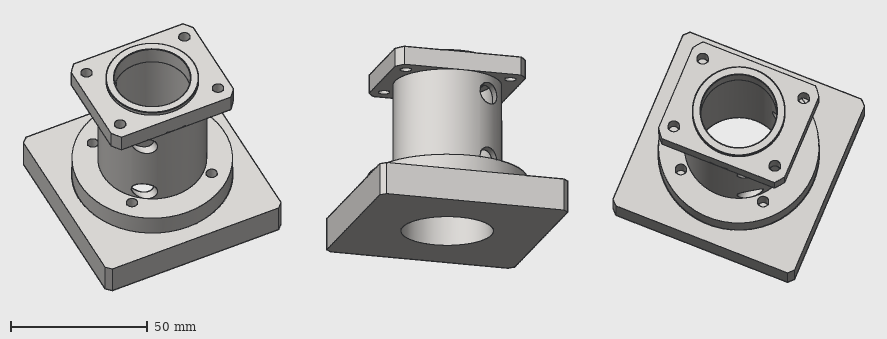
import cadquery as cq

base_side = 72.0
base_height = 12.0
base_chamfer = 2.0

flange_diameter = 59.0
flange_height = 8.0
groove_diameter = 59.4
groove_depth = 0.7
flange_hole_diameter = 4.1
flange_hole_radius = 23.05

tube_diameter = 40.0
tube_height = 36.0
cross_hole_diameter = 8.0
cross_hole_y = -11.0
cross_hole_clearance = 0.035
cross_hole_spacing = 25.0

plate_length_y = 50.0
plate_height = 7.0
plate_corner_diameter = 60.0
plate_hole_diameter = 4.2
plate_hole_spacing_x = 28.0
plate_hole_spacing_y = 40.0

rim_diameter = 34.1
rim_height = 1.5
rim_chamfer = 0.2
neck_diameter = 28.0
neck_chamfer = 0.2
chamber_diameter = 34.0
neck_length = 7.0

flange_bottom = base_height
tube_bottom = flange_bottom + flange_height
plate_bottom = tube_bottom + tube_height
plate_top = plate_bottom + plate_height
total_height = plate_top + rim_height
plate_width_x = tube_diameter


def cylinder(diameter, bottom, height):
    """Cylinder on the Z axis."""
    return cq.Workplane("XY").workplane(offset=bottom).circle(diameter / 2).extrude(height)


def block(size_x, size_y, bottom, height):
    """Box centred on the Z axis."""
    return cq.Workplane("XY").workplane(offset=bottom).rect(size_x, size_y).extrude(height)


def hole_grid(diameter, spacing_x, spacing_y, bottom, depth):
    """Four vertical holes at the corners of a rectangle."""
    return (
        cq.Workplane("XY")
        .workplane(offset=bottom)
        .rect(spacing_x, spacing_y, forConstruction=True)
        .vertices()
        .circle(diameter / 2)
        .extrude(depth)
    )


def cross_holes():
    """Two holes along X, the lower one just above the flange top."""
    lower_z = tube_bottom + cross_hole_clearance + cross_hole_diameter / 2
    return (
        cq.Workplane("YZ")
        .pushPoints([(cross_hole_y, lower_z), (cross_hole_y, lower_z + cross_hole_spacing)])
        .circle(cross_hole_diameter / 2)
        .extrude(tube_diameter / 2, both=True)
    )


base = block(base_side, base_side, 0, base_height).edges("|Z").chamfer(base_chamfer)
groove = cylinder(groove_diameter, base_height - groove_depth, groove_depth).cut(
    cylinder(flange_diameter, base_height - groove_depth, groove_depth)
)
base = base.cut(groove)
flange = cylinder(flange_diameter, flange_bottom, flange_height)
tube = cylinder(tube_diameter, tube_bottom, tube_height)
plate = block(plate_width_x, plate_length_y, plate_bottom, plate_height).intersect(
    cylinder(plate_corner_diameter, plate_bottom, plate_height)
)
rim = cylinder(rim_diameter, plate_top, rim_height).faces(">Z").edges().chamfer(rim_chamfer)

result = base.union(flange).union(tube).union(plate).union(rim)

chamber_top = total_height - neck_length
result = result.cut(cylinder(chamber_diameter, 0, chamber_top))
result = result.cut(cylinder(neck_diameter, chamber_top, neck_length))
mouth = (
    cq.Workplane("XY")
    .workplane(offset=total_height)
    .circle(neck_diameter / 2 + neck_chamfer)
    .workplane(offset=-neck_chamfer)
    .circle(neck_diameter / 2)
    .loft(ruled=True)
)
result = result.cut(mouth)

result = result.cut(
    hole_grid(plate_hole_diameter, plate_hole_spacing_x, plate_hole_spacing_y, plate_bottom, plate_height)
)
flange_hole_spacing = flange_hole_radius * 2**0.5
result = result.cut(
    hole_grid(flange_hole_diameter, flange_hole_spacing, flange_hole_spacing, flange_bottom, flange_height)
)
result = result.cut(cross_holes())